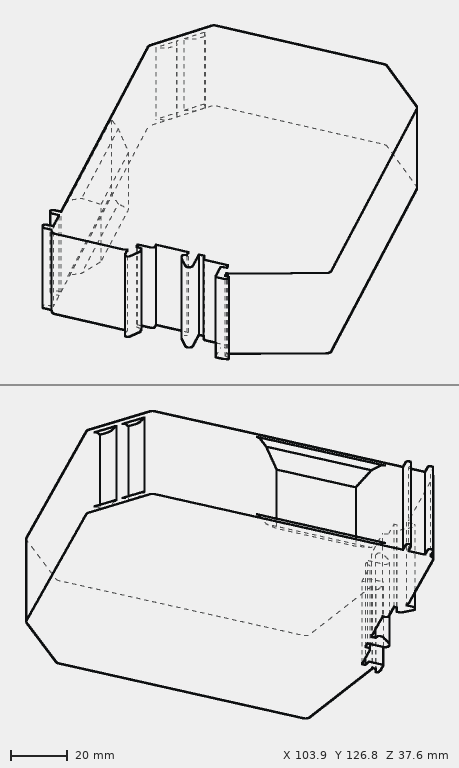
import math
import cadquery as cq

TOTAL_WIDTH = 103.9
TOTAL_DEPTH = 126.7
THICKNESS = 37.6
SIDE_X = 3.7
BASE_Y = 3.2
BACK_CHAMFER = 18.0
CORNER_RADIUS = 2.0

TAB_COUNT = 2
TAB_HEIGHT = 2.0
TAB_PITCH = 8.2
LOWER_TAB_Y = 4.8

SLOPE_START_X = 70.0
SLOPE_END_Y = 15.2

RAIL_SEAT_Y = 7.3
RAIL_GAP_Y = 9.4
SEAT_RADIUS = 1.1
SMALL_RADIUS = 0.4

LEFT_FOOT_OUTER_X = 32.4
LEFT_FOOT_TIP_X = 37.0
LEFT_FOOT_NOTCH_X = 34.8
GAP_LEFT_X = 41.0
HOOK_ROOT_X = 53.1
HOOK_NOSE_X = 51.7
HOOK_BACK_X = 57.0
GAP_RIGHT_X = 59.2
RIGHT_FOOT_NOTCH_X = 68.5
RIGHT_FOOT_TIP_X = 66.4
RIGHT_FOOT_OUTER_X = 69.4
LUG_TIP_X = 71.1
LEFT_FOOT_TIP_RADIUS = 1.0
HOOK_TIP_RADIUS = 1.5

POCKET_DEPTH = 10.0
POCKET_MOUTH_Y = (22.9, 68.8)
POCKET_FLOOR_Y = (29.1, 58.7)
POCKET_LIP_RADIUS = 2.0
POCKET_RIM = 1.3
POCKET_STRAIGHT = 4.0
POCKET_Z_TAPER = 4.2
CLEARANCE = 2.5

GROOVE_COUNT = 2
GROOVE_START = 3.7
GROOVE_PITCH = 11.0
GROOVE_DEPTH = 2.0
GROOVE_WIDTH = 7.9
GROOVE_STEEP_ANGLE = 75
GROOVE_SHALLOW_ANGLE = 31
GROOVE_LIP_RADIUS = 1.0
GROOVE_FLOOR_RADIUS = 4.0
GROOVE_END_WALL = 2.0


def rounded_outline(corners):
    """Closed wire through (x, y, radius) corners, each rounded by a tangent arc."""
    pieces = []
    for i, (x, y, radius) in enumerate(corners):
        corner = cq.Vector(x, y)
        if radius == 0:
            pieces.append((corner, None, corner))
            continue
        before = cq.Vector(*corners[i - 1][:2])
        after = cq.Vector(*corners[(i + 1) % len(corners)][:2])
        to_before = (before - corner).normalized()
        to_after = (after - corner).normalized()
        half_angle = to_before.getAngle(to_after) / 2
        tangent = radius / math.tan(half_angle)
        middle = radius / math.sin(half_angle) - radius
        bisector = (to_before + to_after).normalized()
        pieces.append((corner + to_before * tangent, corner + bisector * middle, corner + to_after * tangent))

    outline = cq.Workplane("XY").moveTo(*pieces[0][2].toTuple()[:2])
    for start, middle, end in pieces[1:] + pieces[:1]:
        outline = outline.lineTo(*start.toTuple()[:2])
        if middle is not None:
            outline = outline.threePointArc(middle.toTuple()[:2], end.toTuple()[:2])
    return outline.close()


def side_tab(bottom_y):
    """Round-tipped tab on the left face, rooted inside the housing."""
    root_x = SIDE_X + CORNER_RADIUS
    top_y = bottom_y + TAB_HEIGHT
    tip_radius = TAB_HEIGHT / 2
    return (
        cq.Workplane("XY")
        .moveTo(root_x, bottom_y)
        .lineTo(root_x, top_y)
        .lineTo(tip_radius, top_y)
        .threePointArc((0, bottom_y + tip_radius), (tip_radius, bottom_y))
        .close()
        .extrude(THICKNESS)
    )


def housing():
    """Full-thickness body with rail feet, outlined counter-clockwise."""
    body_corners = [
        (TOTAL_WIDTH, SLOPE_END_Y, CORNER_RADIUS),
        (TOTAL_WIDTH, TOTAL_DEPTH - BACK_CHAMFER, CORNER_RADIUS),
        (TOTAL_WIDTH - BACK_CHAMFER, TOTAL_DEPTH, CORNER_RADIUS),
        (SIDE_X + BACK_CHAMFER, TOTAL_DEPTH, CORNER_RADIUS),
        (SIDE_X, TOTAL_DEPTH - BACK_CHAMFER, CORNER_RADIUS),
        (SIDE_X, BASE_Y, CORNER_RADIUS),
    ]
    left_foot = [
        (30.8, BASE_Y, 0),
        (LEFT_FOOT_OUTER_X, 3.5, 0),
        (LEFT_FOOT_OUTER_X, -2.0, LEFT_FOOT_TIP_RADIUS),
        (LEFT_FOOT_TIP_X, 4.0, SMALL_RADIUS),
        (LEFT_FOOT_TIP_X, 5.7, SMALL_RADIUS),
        (LEFT_FOOT_NOTCH_X, 6.2, 0),
        (LEFT_FOOT_NOTCH_X, RAIL_SEAT_Y, 0),
    ]
    rail_gap_left = [
        (GAP_LEFT_X, RAIL_SEAT_Y, SEAT_RADIUS),
        (GAP_LEFT_X, RAIL_GAP_Y, 0),
        (HOOK_ROOT_X, RAIL_GAP_Y, 0),
    ]
    spring_hook = [
        (HOOK_ROOT_X, 7.7, 0),
        (HOOK_NOSE_X, 7.2, SMALL_RADIUS),
        (HOOK_NOSE_X, 5.7, SMALL_RADIUS),
        (HOOK_BACK_X, -1.3, HOOK_TIP_RADIUS),
        (HOOK_BACK_X, RAIL_GAP_Y, 0),
    ]
    rail_gap_right = [
        (GAP_RIGHT_X, RAIL_GAP_Y, 0),
        (GAP_RIGHT_X, RAIL_SEAT_Y, SEAT_RADIUS),
        (RIGHT_FOOT_NOTCH_X, RAIL_SEAT_Y, 0),
    ]
    right_foot = [
        (RIGHT_FOOT_NOTCH_X, 6.1, 0),
        (RIGHT_FOOT_TIP_X, 5.6, SMALL_RADIUS),
        (RIGHT_FOOT_TIP_X, 0, SMALL_RADIUS),
        (RIGHT_FOOT_OUTER_X, 0, 0),
        (LUG_TIP_X, 0.5, SMALL_RADIUS),
        (LUG_TIP_X, 1.4, SMALL_RADIUS),
        (RIGHT_FOOT_OUTER_X, 1.8, 0),
        (RIGHT_FOOT_OUTER_X, BASE_Y, 0),
        (SLOPE_START_X, BASE_Y, 0),
    ]
    corners = body_corners + left_foot + rail_gap_left + spring_hook + rail_gap_right + right_foot
    return rounded_outline(corners).extrude(THICKNESS)


def side_pocket():
    """Pocket body: sloped Y walls with rounded lips, crossed with stepped Z walls."""
    floor_x = SIDE_X + POCKET_DEPTH
    outside_x = SIDE_X - CLEARANCE
    y_low, y_high = POCKET_MOUTH_Y
    floor_low, floor_high = POCKET_FLOOR_Y
    plan = rounded_outline([
        (outside_x, y_low - CLEARANCE, 0),
        (SIDE_X, y_low - CLEARANCE, 0),
        (SIDE_X, y_low, POCKET_LIP_RADIUS),
        (floor_x, floor_low, 0),
        (floor_x, floor_high, 0),
        (SIDE_X, y_high, POCKET_LIP_RADIUS),
        (SIDE_X, y_high + CLEARANCE, 0),
        (outside_x, y_high + CLEARANCE, 0),
    ]).extrude(THICKNESS)

    taper_x = SIDE_X + POCKET_STRAIGHT
    z_low = POCKET_RIM
    z_high = THICKNESS - POCKET_RIM
    section = (
        cq.Workplane("XZ")
        .polyline([
            (outside_x, z_low),
            (taper_x, z_low),
            (floor_x, z_low + POCKET_Z_TAPER),
            (floor_x, z_high - POCKET_Z_TAPER),
            (taper_x, z_high),
            (outside_x, z_high),
        ])
        .close()
        .extrude(-TOTAL_DEPTH)
    )
    return plan.intersect(section)


def grip_groove(start):
    """Groove body laid along the left back chamfer, `start` from its back corner."""
    steep_run = GROOVE_DEPTH / math.tan(math.radians(GROOVE_STEEP_ANGLE))
    shallow_run = GROOVE_DEPTH / math.tan(math.radians(GROOVE_SHALLOW_ANGLE))
    end = start + GROOVE_WIDTH
    groove = rounded_outline([
        (start - CLEARANCE, -CLEARANCE, 0),
        (start - CLEARANCE, 0, 0),
        (start, 0, GROOVE_LIP_RADIUS),
        (start + steep_run, GROOVE_DEPTH, 0),
        (end - shallow_run, GROOVE_DEPTH, GROOVE_FLOOR_RADIUS),
        (end, 0, 0),
        (end, -CLEARANCE, 0),
    ]).extrude(THICKNESS - 2 * GROOVE_END_WALL)
    return (
        groove.rotate((0, 0, 0), (0, 0, 1), 225)
        .translate((SIDE_X + BACK_CHAMFER, TOTAL_DEPTH, GROOVE_END_WALL))
    )


result = housing()
for index in range(TAB_COUNT):
    result = result.union(side_tab(LOWER_TAB_Y + index * TAB_PITCH))
result = result.cut(side_pocket())
for index in range(GROOVE_COUNT):
    result = result.cut(grip_groove(GROOVE_START + index * GROOVE_PITCH))